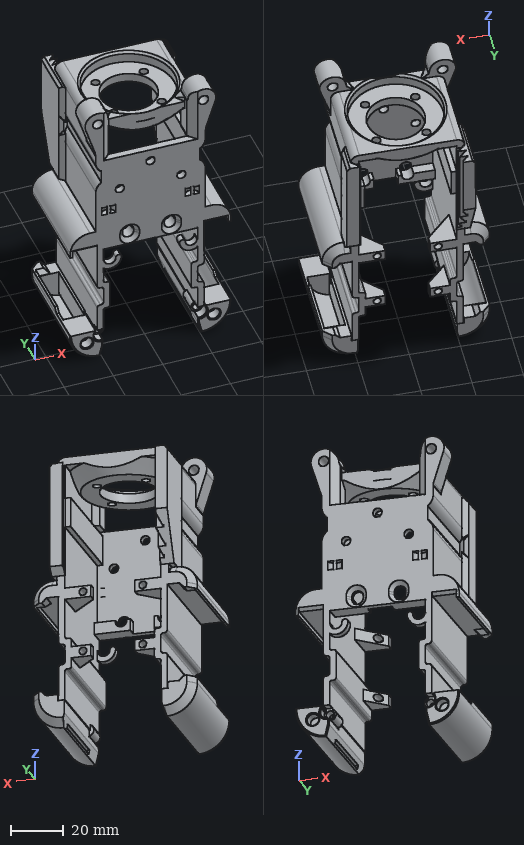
import cadquery as cq
import math

TOP_Z = 117.7
DEPTH = 45.0

PANEL_THICK = 3.2
BODY_X = 22.3
WALL_INNER_X = 19.1
PANEL_BOTTOM_Z = 51.2
PANEL_TOP_Z = 94.3

ROOF_TOP_Z = 109.4
ROOF_THICK = 3.3
ROOF_FRONT_Y = 5.4
SEAT_Y = 24.0
SEAT_DIA = 37.0
SEAT_DEPTH = 4.8
SEAT_CHAMFER = 1.0
SEAT_BORE_DIA = 22.5
SEAT_BOSS_BOTTOM_Z = 100.7
SEAT_SCREW_DIA = 3.3
SEAT_SCREW_PITCH = 19.5

LUG_X = 21.4
LUG_RADIUS = 5.2
LUG_Z = TOP_Z - LUG_RADIUS
LUG_HOLE_DIA = 4.0
LUG_DEPTH = 10.0
LUG_INNER_X = 15.9
LUG_FOOT_X = 22.4
LUG_FOOT_Z = 98.5
LUG_BOTTOM_Z = 97.5
LUG_WEB_HEIGHT = 2.1
LUG_WEB_WIDTH = 2.6
LUG_WEB_LENGTH = 3.4

GROOVE_DEPTH = 2.2
GROOVE_Z = 86.6
GROOVE_FLOOR = 5.4
GROOVE_MOUTH = 13.9

PLATE_X = 24.4
PLATE_BOTTOM_Z = 61.0
PLATE_TOP_Z = 106.1
PLATE_BEVEL = PLATE_X - BODY_X
PLATE_TOP_BEVEL = 1.2
LEFT_PLATE_FRONT_Y = 35.0
LEFT_PLATE_REAR_Y = 54.0
LEFT_SLOPE_Z = 80.3
RIGHT_PLATE_FRONT_Y = 38.1
RIGHT_PLATE_REAR_Y = 47.9
RIGHT_SLOPE_Z = 64.0
TOOTH_PITCH = 3.1
TOOTH_TIP_X = 19.0
TOOTH_SIZE = BODY_X - TOOTH_TIP_X
FIRST_TIP_CUT = 0.7
LEFT_BACKING_REAR_Y = 46.0
RIGHT_BACKING_REAR_Y = 47.6
BACKING_TOP_Z = PLATE_TOP_Z - PLATE_TOP_BEVEL

OUTER_X = 32.6
LIP_THICK = 1.1
LIP_HEIGHT = 1.9
REAR_CHAMFER = 3.2
TAB_END_X = 28.3
TAB_FRONT_Y = 38.9
SHOULDER_TOP_Z = 60.6
SHOULDER_RADIUS = 8.0
SHOULDER_BOTTOM_Z = 52.6
SHOULDER_FRONT_CHAMFER = 1.3
UPPER_WALL_BOTTOM_Z = SHOULDER_BOTTOM_Z + SHOULDER_FRONT_CHAMFER

LOWER_WALL_X = 21.7
LOWER_WALL_THICK = LOWER_WALL_X - WALL_INNER_X
JOG_OUTER_TOP_Z = 33.0
JOG_OUTER_BOTTOM_Z = 24.7
JOG_STEP_THICK = 2.1
JOG_OUTER_ROUND = 1.2
JOG_INNER_ROUND = 1.0

HOOK_X = 16.5
HOOK_Z = 45.9
HOOK_OUTER_RADIUS = 4.7
HOOK_INNER_RADIUS = 2.4
HOOK_LENGTH = PANEL_THICK

TAB_TIP_X = 8.7
TAB_HEIGHT = 4.6
TAB_THICK = 3.2
TAB_HOLE_X = 11.9
TAB_HOLE_DIA = 3.0
TAB_BOTTOM_ZS = (27.0, PANEL_BOTTOM_Z)

PANEL_HOLE_DIA = 3.5
PANEL_HOLES = ((0, 89.0), (-12.5, 78.9), (12.5, 78.9))
TIE_X = 17.0
TIE_BOTTOM_Z = 67.9
TIE_HEIGHT = 3.5
TIE_OUTER_RADIUS = 2.8
TIE_INNER_RADIUS = 0.7
SCREW_X = 8.5
SCREW_Z = 55.9
SCREW_DIA = 4.5
SCREW_SINK_DIA = 8.0
SCREW_SLOT = 1.0
SCREW_SINK_DEPTH = (SCREW_SINK_DIA - SCREW_DIA) / 2
SCREW_BLOCK_INNER_X = 4.7
SCREW_BLOCK_REAR_Y = 7.1

HINGE_X = 20.0
HINGE_Z = 10.1
HINGE_DIA = 4.7
HINGE_BORE_DIA = 3.2
HINGE_FRONT_Y = 3.8
HINGE_LENGTH = 8.4
HINGE_GAP = 0.5

FOOT_TOP_Z = 12.7
FOOT_RADIUS = 12.1
FOOT_KNEE_X = 19.3
FOOT_KNEE_Z = 4.8
FOOT_FRONT_CHAMFER = 0.5
FOOT_INNER_X = LOWER_WALL_X + 0.2
FOOT_SLOT_X = 22.4
FOOT_LIP_FRONT_Y = 15.1
FOOT_HOLE_X = 25.8
FOOT_HOLE_Z = 7.5
FOOT_HOLE_DIA = 4.7
FOOT_HOLE_DEPTH = 4.7
FOOT_HOLE_CHAMFER = 0.41
POCKET_FRONT_Y = 10.6
POCKET_REAR_Y = 38.6
POCKET_INNER_X = 23.0
POCKET_SLIT_TOP_Z = 2.6

DIAGONAL = math.sqrt(0.5)


def box(x0, x1, y0, y1, z0, z1):
    """Block between two corners."""
    return cq.Workplane("XY").box(x1 - x0, y1 - y0, z1 - z0, centered=False).translate((x0, y0, z0))


def front_plane(y):
    """Plane parallel to the front face whose extrusions run towards the rear."""
    return cq.Workplane(cq.Plane(origin=(0, y, 0), xDir=(1, 0, 0), normal=(0, -1, 0)))


def prism_y(points, y0, y1):
    """Polygon of (x, z) points extruded from y0 to y1."""
    return front_plane(y0).polyline(points).close().extrude(y0 - y1)


def prism_x(points, x0, x1):
    """Polygon of (y, z) points extruded from x0 to x1."""
    return cq.Workplane("YZ").workplane(offset=x0).polyline(points).close().extrude(x1 - x0)


def prism_z(points, z0, z1):
    """Polygon of (x, y) points extruded from z0 to z1."""
    return cq.Workplane("XY").workplane(offset=z0).polyline(points).close().extrude(z1 - z0)


def z_range(z0, z1):
    """Selector for edges whose centres lie between two heights, ends included."""
    tolerance = 0.1
    reach = TOP_Z
    return cq.selectors.BoxSelector((-reach, -reach, z0 - tolerance), (reach, reach, z1 + tolerance))


def rod(x, z, diameter, y0, y1):
    """Round rod parallel to Y."""
    return front_plane(y0).center(x, z).circle(diameter / 2).extrude(y0 - y1)


def mirrored(left):
    """The matching shape on the right-hand side."""
    return left.mirror("YZ")


def groove_profile(x_face, x_floor, y0, y1):
    """Groove section with convex flanks, extruded along Y."""
    mouth = GROOVE_MOUTH / 2
    floor = GROOVE_FLOOR / 2
    rise = mouth - floor
    depth = abs(x_floor - x_face)
    radius = (depth**2 + rise**2) / (2 * depth)
    half_angle = math.asin(rise / radius) / 2
    step = radius * (1 - math.cos(half_angle))
    drop = radius * math.sin(half_angle)
    return (
        front_plane(y0)
        .moveTo(x_face, GROOVE_Z + mouth)
        .threePointArc((x_face + step, GROOVE_Z + mouth - drop), (x_floor, GROOVE_Z + floor))
        .lineTo(x_floor, GROOVE_Z - floor)
        .threePointArc((x_face + step, GROOVE_Z - mouth + drop), (x_face, GROOVE_Z - mouth))
        .close()
        .extrude(y0 - y1)
    )


def upper_wall():
    wall = box(-BODY_X, -WALL_INNER_X, 0, DEPTH, UPPER_WALL_BOTTOM_Z, ROOF_TOP_Z - ROOF_THICK)
    bulge_half = GROOVE_FLOOR / 2 + PANEL_THICK
    bulge = box(
        -WALL_INNER_X, -WALL_INNER_X + GROOVE_DEPTH, 0, DEPTH, GROOVE_Z - bulge_half, GROOVE_Z + bulge_half
    )
    return wall.union(bulge)


def groove_cutter(plate_front_y):
    """Groove tool ending in a ramp behind the plate, plus the flat it leaves on the plate bevel."""
    floor_x = -BODY_X + GROOVE_DEPTH
    groove = groove_profile(-BODY_X, floor_x, 0, plate_front_y + GROOVE_DEPTH)
    ramp = prism_z(
        [
            (-BODY_X, plate_front_y),
            (floor_x, plate_front_y + GROOVE_DEPTH),
            (-BODY_X, plate_front_y + GROOVE_DEPTH),
        ],
        PLATE_BOTTOM_Z,
        PLATE_TOP_Z,
    )
    floor = GROOVE_FLOOR / 2
    flat = prism_y(
        [
            (-BODY_X, GROOVE_Z - floor),
            (-BODY_X, GROOVE_Z + floor),
            (-PLATE_X, GROOVE_Z + floor + PLATE_BEVEL),
            (-PLATE_X, GROOVE_Z - floor - PLATE_BEVEL),
        ],
        0,
        plate_front_y,
    )
    return groove.cut(ramp).union(flat)


def lug():
    """Lug with flanks tangent to its round end."""
    foot_dx = LUG_X - LUG_FOOT_X
    foot_dz = LUG_FOOT_Z - LUG_Z
    reach = math.hypot(foot_dx, foot_dz)
    angle = math.atan2(foot_dz, foot_dx) - math.acos(LUG_RADIUS / reach)
    tangent = (-LUG_X + LUG_RADIUS * math.cos(angle), LUG_Z + LUG_RADIUS * math.sin(angle))
    return (
        front_plane(0)
        .moveTo(-BODY_X, PANEL_TOP_Z)
        .lineTo(-BODY_X, LUG_BOTTOM_Z)
        .lineTo(-LUG_FOOT_X, LUG_BOTTOM_Z)
        .lineTo(-LUG_FOOT_X, LUG_FOOT_Z)
        .lineTo(*tangent)
        .threePointArc((-LUG_X, TOP_Z), (-LUG_X + LUG_RADIUS, LUG_Z))
        .lineTo(-LUG_INNER_X, ROOF_TOP_Z + LUG_WEB_HEIGHT)
        .lineTo(-LUG_INNER_X, PANEL_TOP_Z)
        .close()
        .extrude(-LUG_DEPTH)
    )


def lug_web():
    """Small web that widens towards the rear between lug and roof."""
    web = prism_y(
        [
            (-LUG_INNER_X, ROOF_TOP_Z),
            (-LUG_INNER_X + LUG_WEB_WIDTH, ROOF_TOP_Z),
            (-LUG_INNER_X, ROOF_TOP_Z + LUG_WEB_HEIGHT),
        ],
        ROOF_FRONT_Y,
        LUG_DEPTH,
    )
    outline = prism_z(
        [
            (-LUG_INNER_X, ROOF_FRONT_Y),
            (-LUG_INNER_X + LUG_WEB_WIDTH, ROOF_FRONT_Y + LUG_WEB_LENGTH),
            (-LUG_INNER_X + LUG_WEB_WIDTH, LUG_DEPTH),
            (-LUG_INNER_X, LUG_DEPTH),
        ],
        ROOF_TOP_Z,
        TOP_Z,
    )
    return web.intersect(outline)


def shoulder():
    """Quarter-round shoulder with a hanging lip and a thick rear end on the lip."""
    arc_x = -OUTER_X + SHOULDER_RADIUS
    arc_z = SHOULDER_TOP_Z - SHOULDER_RADIUS
    lip_bottom = SHOULDER_BOTTOM_Z - LIP_HEIGHT
    body = (
        front_plane(0)
        .moveTo(-WALL_INNER_X, SHOULDER_TOP_Z)
        .lineTo(arc_x, SHOULDER_TOP_Z)
        .threePointArc(
            (arc_x - SHOULDER_RADIUS * DIAGONAL, arc_z + SHOULDER_RADIUS * DIAGONAL),
            (-OUTER_X, arc_z),
        )
        .lineTo(-OUTER_X, lip_bottom)
        .lineTo(-OUTER_X + LIP_THICK, lip_bottom)
        .lineTo(-OUTER_X + LIP_THICK, SHOULDER_BOTTOM_Z)
        .lineTo(-WALL_INNER_X, SHOULDER_BOTTOM_Z)
        .close()
        .extrude(-DEPTH)
    )
    front_chamfer = prism_x(
        [
            (0, SHOULDER_BOTTOM_Z),
            (SHOULDER_FRONT_CHAMFER, SHOULDER_BOTTOM_Z),
            (0, SHOULDER_BOTTOM_Z + SHOULDER_FRONT_CHAMFER),
        ],
        -OUTER_X + LIP_THICK,
        -LOWER_WALL_X,
    )
    body = body.cut(front_chamfer).union(lip_tab(SHOULDER_BOTTOM_Z, -LIP_HEIGHT))
    return body.intersect(rounded_envelope(arc_z, SHOULDER_RADIUS, 1))


def lip_tab(base_z, height):
    """Thick rear end of a lip; a negative height hangs it below its base."""
    tip = base_z + height
    rise = abs(height)
    tab = prism_y(
        [
            (-OUTER_X, base_z),
            (-OUTER_X, tip),
            (-TAB_END_X, tip),
            (-TAB_END_X + rise, base_z),
        ],
        TAB_FRONT_Y,
        DEPTH,
    )
    ramp = prism_x(
        [(TAB_FRONT_Y, base_z), (TAB_FRONT_Y + rise, tip), (TAB_FRONT_Y, tip)],
        -OUTER_X,
        -WALL_INNER_X,
    )
    return tab.cut(ramp)


def rounded_envelope(arc_z, radius, sign):
    """Space inside the round outer corner, bevelled all along it at the rear.

    The rounding lies above arc_z when sign is 1 and below it when sign is -1.
    """
    arc_x = -OUTER_X + radius
    pole_z = arc_z + sign * radius
    base_z = arc_z - sign * OUTER_X
    outline = (
        cq.Sketch()
        .segment((0, pole_z), (arc_x, pole_z))
        .arc(
            (arc_x, pole_z),
            (arc_x - radius * DIAGONAL, arc_z + sign * radius * DIAGONAL),
            (-OUTER_X, arc_z),
        )
        .segment((-OUTER_X, arc_z), (-OUTER_X, base_z))
        .segment((-OUTER_X, base_z), (0, base_z))
        .close()
        .assemble()
    )
    bevel_y = DEPTH - REAR_CHAMFER
    straight = front_plane(0).placeSketch(outline).extrude(-bevel_y)
    bevelled = front_plane(bevel_y).placeSketch(outline).extrude(-REAR_CHAMFER, taper=45)
    return straight.union(bevelled)


def lower_wall():
    """Wall from the shoulder down to the hinge, with one inward jog."""
    inner_x = -WALL_INNER_X
    jog_x = inner_x + LOWER_WALL_THICK
    wall = box(-LOWER_WALL_X, inner_x, 0, DEPTH, HINGE_Z, UPPER_WALL_BOTTOM_Z)
    jog_top = JOG_OUTER_TOP_Z + JOG_STEP_THICK
    jog_bottom = JOG_OUTER_BOTTOM_Z - JOG_STEP_THICK
    wall = wall.cut(box(-LOWER_WALL_X, inner_x, 0, DEPTH, JOG_OUTER_BOTTOM_Z, JOG_OUTER_TOP_Z))
    wall = wall.union(box(inner_x, jog_x, 0, DEPTH, jog_bottom, jog_top))
    wall = wall.edges("|Y").edges(z_range(JOG_OUTER_BOTTOM_Z, JOG_OUTER_TOP_Z)).fillet(JOG_OUTER_ROUND)
    for z in (jog_bottom, jog_top):
        wall = wall.edges("|Y").edges(z_range(z, z)).fillet(JOG_INNER_ROUND)
    corner = box(-LOWER_WALL_X, inner_x, 0, HINGE_FRONT_Y, HINGE_Z, FOOT_TOP_Z)
    barrel = rod(-HINGE_X, HINGE_Z, HINGE_DIA, HINGE_FRONT_Y, HINGE_FRONT_Y + HINGE_LENGTH)
    bore = rod(-HINGE_X, HINGE_Z, HINGE_BORE_DIA, HINGE_FRONT_Y, HINGE_FRONT_Y + HINGE_LENGTH / 2)
    return wall.cut(corner).union(barrel).cut(bore)


def hook():
    """Half-ring cable hook with a round tip."""
    ring = front_plane(0).center(-HOOK_X, HOOK_Z).circle(HOOK_OUTER_RADIUS).circle(HOOK_INNER_RADIUS)
    ring = ring.extrude(-HOOK_LENGTH)
    lower_half = box(-WALL_INNER_X, 0, 0, HOOK_LENGTH, HOOK_Z - HOOK_OUTER_RADIUS, HOOK_Z)
    tip_x = -HOOK_X + (HOOK_OUTER_RADIUS + HOOK_INNER_RADIUS) / 2
    tip = rod(tip_x, HOOK_Z, HOOK_OUTER_RADIUS - HOOK_INNER_RADIUS, 0, HOOK_LENGTH)
    return ring.intersect(lower_half).union(tip)


def rear_tab(bottom_z, root_x):
    """Screw tab at the rear edge, carried by a 45 degree ramp."""
    length = root_x - TAB_TIP_X
    tab = prism_z(
        [
            (-root_x, DEPTH),
            (-TAB_TIP_X, DEPTH),
            (-TAB_TIP_X, DEPTH - TAB_THICK),
            (-root_x, DEPTH - TAB_THICK - length),
        ],
        bottom_z,
        bottom_z + TAB_HEIGHT,
    )
    return tab.cut(rod(-TAB_HOLE_X, bottom_z + TAB_HEIGHT / 2, TAB_HOLE_DIA, 0, DEPTH))


def screw_block():
    """Thicker strip behind the lower half of the oval screw hole."""
    return box(
        -WALL_INNER_X, -SCREW_BLOCK_INNER_X, PANEL_THICK, SCREW_BLOCK_REAR_Y, PANEL_BOTTOM_Z, SCREW_Z
    )


def left_half():
    half = upper_wall()
    for piece in (lug(), shoulder(), lower_wall(), hook(), screw_block()):
        half = half.union(piece)
    for bottom_z in TAB_BOTTOM_ZS:
        half = half.union(rear_tab(bottom_z, WALL_INNER_X))
    return half


def front_panel():
    """Front panel, narrower below the shoulders where it meets the lower walls."""
    upper = box(-BODY_X, BODY_X, 0, PANEL_THICK, UPPER_WALL_BOTTOM_Z, PANEL_TOP_Z)
    lower = box(-LOWER_WALL_X, LOWER_WALL_X, 0, PANEL_THICK, PANEL_BOTTOM_Z, UPPER_WALL_BOTTOM_Z)
    return upper.union(lower)


def roof():
    """Roof plate with rounded side edges and a conical boss under the motor seat."""
    side_x = BODY_X - ROOF_THICK
    under_z = ROOF_TOP_Z - ROOF_THICK
    bulge = ROOF_THICK * DIAGONAL
    plate = (
        front_plane(ROOF_FRONT_Y)
        .moveTo(-BODY_X, under_z)
        .threePointArc((-side_x - bulge, under_z + bulge), (-side_x, ROOF_TOP_Z))
        .lineTo(side_x, ROOF_TOP_Z)
        .threePointArc((side_x + bulge, under_z + bulge), (BODY_X, under_z))
        .close()
        .extrude(ROOF_FRONT_Y - DEPTH)
    )
    boss_height = ROOF_TOP_Z - ROOF_THICK - SEAT_BOSS_BOTTOM_Z
    boss_radius = SEAT_DIA / 2
    boss = cq.Workplane(cq.Solid.makeCone(
        boss_radius,
        boss_radius + boss_height,
        boss_height,
        pnt=cq.Vector(0, SEAT_Y, SEAT_BOSS_BOTTOM_Z),
    ))
    inside = box(-BODY_X, BODY_X, ROOF_FRONT_Y, DEPTH, PANEL_BOTTOM_Z, TOP_Z)
    return plate.union(boss.intersect(inside))


def seat_cutter():
    """Chamfered motor recess, centre bore and four screw holes."""
    top = cq.Workplane("XY").workplane(offset=ROOF_TOP_Z).center(0, SEAT_Y)
    recess = top.circle(SEAT_DIA / 2).extrude(-SEAT_DEPTH)
    bore = top.circle(SEAT_BORE_DIA / 2).extrude(SEAT_BOSS_BOTTOM_Z - ROOF_TOP_Z)
    screws = top.rect(SEAT_SCREW_PITCH, SEAT_SCREW_PITCH, forConstruction=True).vertices()
    screws = screws.circle(SEAT_SCREW_DIA / 2).extrude(SEAT_BOSS_BOTTOM_Z - ROOF_TOP_Z)
    chamfer = cq.Workplane(cq.Solid.makeCone(
        SEAT_DIA / 2,
        SEAT_DIA / 2 + SEAT_CHAMFER,
        SEAT_CHAMFER,
        pnt=cq.Vector(0, SEAT_Y, ROOF_TOP_Z - SEAT_CHAMFER),
    ))
    return recess.union(bore).union(screws).union(chamfer)


def notch_cutter():
    """Opening above the panel, flared towards the front."""
    flare_x = LUG_INNER_X + PANEL_THICK
    return prism_z(
        [
            (-flare_x, 0),
            (flare_x, 0),
            (LUG_INNER_X, PANEL_THICK),
            (-LUG_INNER_X, PANEL_THICK),
        ],
        PANEL_TOP_Z,
        TOP_Z,
    )


def tie_cutter(x):
    """Curved channel that lets a cable tie in and out of the panel face."""
    ring = cq.Workplane("XY").workplane(offset=TIE_BOTTOM_Z).center(x, 0)
    return ring.circle(TIE_OUTER_RADIUS).circle(TIE_INNER_RADIUS).extrude(TIE_HEIGHT)


def oval_screw_cutter(x):
    """Vertical oval screw hole with an oval countersink."""
    through = front_plane(0).center(x, SCREW_Z).slot2D(SCREW_DIA + SCREW_SLOT, SCREW_DIA, 90)
    sink = front_plane(0).center(x, SCREW_Z).slot2D(SCREW_SINK_DIA + SCREW_SLOT, SCREW_SINK_DIA, 90)
    return through.extrude(-SCREW_BLOCK_REAR_Y).union(sink.extrude(-SCREW_SINK_DEPTH, taper=45))


def ratchet_plate(front_y, rear_y, slope_z, tooth_count, backing_rear_y):
    """Plate with a bevelled front edge, backed inward teeth and a sloping lower rear edge."""
    shank = prism_z(
        [
            (-BODY_X, front_y - PLATE_BEVEL),
            (-PLATE_X, front_y),
            (-PLATE_X, rear_y),
            (-BODY_X, rear_y),
        ],
        PLATE_BOTTOM_Z,
        PLATE_TOP_Z,
    )
    for index in range(tooth_count):
        tooth_y = rear_y - index * TOOTH_PITCH
        tooth = prism_z(
            [(-BODY_X, tooth_y), (-TOOTH_TIP_X, tooth_y), (-BODY_X, tooth_y - TOOTH_SIZE)],
            PLATE_BOTTOM_Z,
            PLATE_TOP_Z,
        )
        shank = shank.union(tooth)
    backing = box(-BODY_X, -TOOTH_TIP_X, DEPTH, backing_rear_y, PLATE_BOTTOM_Z, BACKING_TOP_Z)
    shank = shank.union(backing)
    top_bevel = prism_y(
        [
            (-PLATE_X, PLATE_TOP_Z - PLATE_TOP_BEVEL),
            (-PLATE_X, PLATE_TOP_Z),
            (-PLATE_X + PLATE_TOP_BEVEL, PLATE_TOP_Z),
        ],
        0,
        rear_y,
    )
    lower_slope = prism_x(
        [(DEPTH, PLATE_BOTTOM_Z), (rear_y, slope_z), (rear_y, PLATE_BOTTOM_Z)],
        -PLATE_X,
        -TOOTH_TIP_X,
    )
    return shank.cut(top_bevel).cut(lower_slope)


def make_housing():
    half = left_half()
    body = half.union(mirrored(half)).union(roof())
    body = body.union(front_panel())
    left_plate = ratchet_plate(LEFT_PLATE_FRONT_Y, LEFT_PLATE_REAR_Y, LEFT_SLOPE_Z, 3, LEFT_BACKING_REAR_Y)
    tip_cut = box(
        -TOOTH_TIP_X - FIRST_TIP_CUT,
        -TOOTH_TIP_X,
        LEFT_PLATE_REAR_Y - FIRST_TIP_CUT,
        LEFT_PLATE_REAR_Y,
        PLATE_BOTTOM_Z,
        PLATE_TOP_Z,
    )
    left_plate = left_plate.cut(tip_cut)
    right_plate = ratchet_plate(
        RIGHT_PLATE_FRONT_Y, RIGHT_PLATE_REAR_Y, RIGHT_SLOPE_Z, 1, RIGHT_BACKING_REAR_Y
    )
    body = body.union(left_plate).union(mirrored(right_plate))
    body = body.union(lug_web()).union(mirrored(lug_web()))
    body = body.cut(seat_cutter()).cut(notch_cutter())
    body = body.cut(groove_cutter(LEFT_PLATE_FRONT_Y)).cut(mirrored(groove_cutter(RIGHT_PLATE_FRONT_Y)))
    for x, z in PANEL_HOLES:
        body = body.cut(rod(x, z, PANEL_HOLE_DIA, 0, PANEL_THICK))
    for side in (-1, 1):
        body = body.cut(tie_cutter(side * TIE_X))
        body = body.cut(oval_screw_cutter(side * SCREW_X))
        body = body.cut(rod(side * LUG_X, LUG_Z, LUG_HOLE_DIA, 0, LUG_DEPTH))
    return body


def foot_blank():
    """Quarter-round foot whose inner edge lies under the lower wall."""
    arc_x = -OUTER_X + FOOT_RADIUS
    blank = (
        front_plane(0)
        .moveTo(-OUTER_X, FOOT_TOP_Z)
        .lineTo(-OUTER_X, FOOT_RADIUS)
        .threePointArc(
            (arc_x - FOOT_RADIUS * DIAGONAL, FOOT_RADIUS * (1 - DIAGONAL)),
            (arc_x, 0),
        )
        .lineTo(-FOOT_KNEE_X, FOOT_KNEE_Z)
        .lineTo(-FOOT_KNEE_X, HINGE_Z)
        .lineTo(-FOOT_INNER_X, HINGE_Z)
        .lineTo(-FOOT_INNER_X, FOOT_TOP_Z)
        .close()
        .extrude(-DEPTH)
    )
    return blank


def foot_lip():
    """Raised outer lip whose front end ramps up at 45 degrees."""
    return prism_x(
        [
            (FOOT_LIP_FRONT_Y, FOOT_TOP_Z),
            (DEPTH, FOOT_TOP_Z),
            (DEPTH, FOOT_TOP_Z + LIP_HEIGHT),
            (FOOT_LIP_FRONT_Y + LIP_HEIGHT, FOOT_TOP_Z + LIP_HEIGHT),
        ],
        -OUTER_X,
        -OUTER_X + LIP_THICK,
    )


def foot_pocket():
    """Pocket open at the top, leaving through a low slit in the inner face."""
    arc_x = -OUTER_X + FOOT_RADIUS
    radius = FOOT_RADIUS - LIP_THICK
    return (
        front_plane(POCKET_FRONT_Y)
        .moveTo(-OUTER_X + LIP_THICK, FOOT_TOP_Z)
        .lineTo(-OUTER_X + LIP_THICK, FOOT_RADIUS)
        .threePointArc(
            (arc_x - radius * DIAGONAL, FOOT_RADIUS - radius * DIAGONAL),
            (arc_x, LIP_THICK),
        )
        .lineTo(-FOOT_KNEE_X, LIP_THICK)
        .lineTo(-FOOT_KNEE_X, POCKET_SLIT_TOP_Z)
        .lineTo(-POCKET_INNER_X, POCKET_SLIT_TOP_Z)
        .lineTo(-POCKET_INNER_X, FOOT_TOP_Z)
        .close()
        .extrude(POCKET_FRONT_Y - POCKET_REAR_Y)
    )


def hinge_clearance():
    """Room for the hinge barrel and for the wall end beside it."""
    rear_y = HINGE_FRONT_Y + HINGE_LENGTH + HINGE_GAP
    barrel = rod(-HINGE_X, HINGE_Z, HINGE_DIA + 2 * HINGE_GAP, 0, rear_y)
    slot = box(-FOOT_SLOT_X, 0, 0, rear_y, HINGE_Z, FOOT_TOP_Z)
    return barrel.union(slot)


def make_foot():
    foot = foot_blank().cut(hinge_clearance())
    foot = foot.faces("<Y").edges("not >Z").chamfer(FOOT_FRONT_CHAMFER)
    foot = foot.union(foot_lip()).union(lip_tab(FOOT_TOP_Z, LIP_HEIGHT))
    foot = foot.intersect(rounded_envelope(FOOT_RADIUS, FOOT_RADIUS, -1))
    hole = rod(-FOOT_HOLE_X, FOOT_HOLE_Z, FOOT_HOLE_DIA, 0, FOOT_HOLE_DEPTH)
    mouth = cq.Workplane(cq.Solid.makeCone(
        FOOT_HOLE_DIA / 2 + FOOT_HOLE_CHAMFER,
        FOOT_HOLE_DIA / 2,
        FOOT_HOLE_CHAMFER,
        pnt=cq.Vector(-FOOT_HOLE_X, 0, FOOT_HOLE_Z),
        dir=cq.Vector(0, 1, 0),
    ))
    return foot.cut(hole).cut(mouth).cut(foot_pocket())


housing = make_housing()
feet = []
for flip in (False, True):
    foot = mirrored(make_foot()) if flip else make_foot()
    feet.append(foot.solids().val())

result = cq.Compound.makeCompound([housing.solids().val(), *feet])